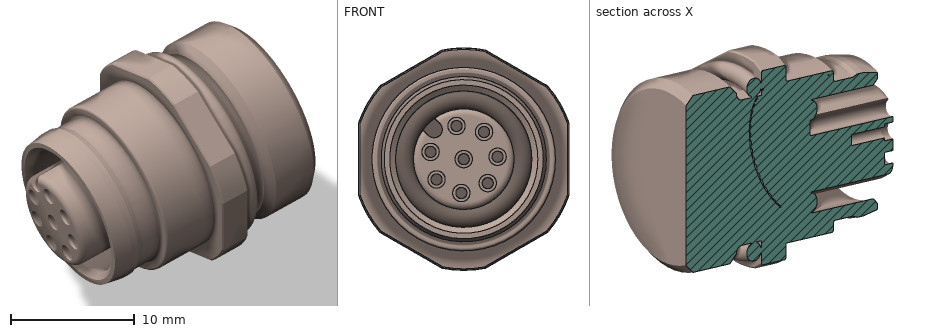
import cadquery as cq
import math

LENGTH = 20.9

COLLAR_RADIUS = 16.0 / 2
COLLAR_FRONT = 15.75
COLLAR_CHAMFER = 0.71

NECK_RADIUS = 13.5 / 2
NECK_FILLET = 0.48
SEAL_THICKNESS = 1.5
SEAL_OVERLAP = 0.031
SEAL_OUTER_RADIUS = 8.23

NUT_ACROSS_FLATS = 17.0
NUT_CORNER_DIAMETER = 17.95
NUT_FRONT = 10.78
NUT_REAR = 13.31
NUT_CHAMFER = 0.13

BODY_RADIUS = 14.8 / 2
BODY_FRONT = 6.0
BODY_FILLET = 0.2
SLEEVE_RADIUS = 13.0 / 2
SLEEVE_ROOT_FILLET = 0.17
LIP_RADIUS = 6.67
LIP_REAR = 4.08
LIP_RAMP_LENGTH = 0.3
LIP_RAMP_RISE = 0.1
LIP_EDGE_LENGTH = 0.13
LIP_TAPER_START = 3.0
SLEEVE_FRONT = 1.53
SLEEVE_TIP_RADIUS = 6.42

BORE_RADIUS = 11.0 / 2
BORE_MOUTH_RADIUS = 5.98
BORE_MOUTH_DEPTH = 0.48
BORE_FLOOR = 8.35

CARRIER_RADIUS = 4.05
CARRIER_FILLET = 0.52
KEY_ANGLE = 135.0
KEY_RADIUS = 0.67
KEY_CENTRE_RADIUS = 3.39

RING_CONTACTS = 7
CONTACT_CIRCLE_RADIUS = 2.74
CONTACT_STEP = 49.1
CONTACT_DIAMETER = 1.4
CONTACT_DEPTH = 0.84
CONTACT_INNER_DIAMETER = 0.9
CONTACT_INNER_DEPTH = 4.18


def cylinder(radius, start, end, x=0.0, z=0.0):
    """Cylinder along +Y from Y = start to Y = end, centred on (x, z)."""
    return cq.Workplane(cq.Solid.makeCylinder(radius, end - start, cq.Vector(x, start, z), cq.Vector(0, 1, 0)))


def torus(ring_radius, tube_radius, y):
    """Ring of round section around the Y axis."""
    section = cq.Workplane("XY").center(-ring_radius, y).circle(tube_radius)
    return section.revolve(360, (ring_radius, 0, 0), (ring_radius, 1, 0))


def polar(radius, angle):
    """X and Z of a point at an angle in degrees from +X towards +Z."""
    return radius * math.cos(math.radians(angle)), radius * math.sin(math.radians(angle))


def turned_body():
    """Outer profile of the body and sleeve, turned around the Y axis."""
    return (
        cq.Workplane("XY")
        .moveTo(0, SLEEVE_FRONT)
        .lineTo(SLEEVE_TIP_RADIUS, SLEEVE_FRONT)
        .lineTo(LIP_RADIUS, LIP_TAPER_START)
        .lineTo(LIP_RADIUS, LIP_REAR - LIP_RAMP_LENGTH - LIP_EDGE_LENGTH)
        .lineTo(SLEEVE_RADIUS + LIP_RAMP_RISE, LIP_REAR - LIP_RAMP_LENGTH)
        .lineTo(SLEEVE_RADIUS, LIP_REAR)
        .lineTo(SLEEVE_RADIUS, BODY_FRONT - SLEEVE_ROOT_FILLET)
        .radiusArc((SLEEVE_RADIUS + SLEEVE_ROOT_FILLET, BODY_FRONT), SLEEVE_ROOT_FILLET)
        .lineTo(BODY_RADIUS - BODY_FILLET, BODY_FRONT)
        .radiusArc((BODY_RADIUS, BODY_FRONT + BODY_FILLET), -BODY_FILLET)
        .lineTo(BODY_RADIUS, NUT_REAR)
        .lineTo(NECK_RADIUS, NUT_REAR)
        .lineTo(NECK_RADIUS, COLLAR_FRONT - NECK_FILLET)
        .radiusArc((NECK_RADIUS + NECK_FILLET, COLLAR_FRONT), NECK_FILLET)
        .lineTo(COLLAR_RADIUS - COLLAR_CHAMFER, COLLAR_FRONT)
        .lineTo(COLLAR_RADIUS, COLLAR_FRONT + COLLAR_CHAMFER)
        .lineTo(COLLAR_RADIUS, LENGTH - COLLAR_CHAMFER)
        .lineTo(COLLAR_RADIUS - COLLAR_CHAMFER, LENGTH)
        .lineTo(0, LENGTH)
        .close()
        .revolve(360, (0, 0, 0), (0, 1, 0))
    )


def nut():
    """Hexagon with two flats facing +X and -X, rounded corners and chamfered edges."""
    hexagon = (
        cq.Workplane("XZ", origin=(0, NUT_REAR, 0))
        .polygon(6, NUT_ACROSS_FLATS, circumscribed=True)
        .extrude(NUT_REAR - NUT_FRONT)
    )
    rounded = hexagon.intersect(cylinder(NUT_CORNER_DIAMETER / 2, NUT_FRONT, NUT_REAR))
    return rounded.faces("<Y or >Y").edges().chamfer(NUT_CHAMFER)


def neck_seal():
    """Sealing ring on the neck, pressed slightly into the rear face of the nut."""
    tube_radius = SEAL_THICKNESS / 2
    return torus(SEAL_OUTER_RADIUS - tube_radius, tube_radius, NUT_REAR + tube_radius - SEAL_OVERLAP)


def socket_bore():
    """Space to remove inside the sleeve: a conical mouth and a straight bore."""
    return (
        cq.Workplane("XY")
        .moveTo(0, SLEEVE_FRONT)
        .lineTo(BORE_MOUTH_RADIUS, SLEEVE_FRONT)
        .lineTo(BORE_RADIUS, SLEEVE_FRONT + BORE_MOUTH_DEPTH)
        .lineTo(BORE_RADIUS, BORE_FLOOR)
        .lineTo(0, BORE_FLOOR)
        .close()
        .revolve(360, (0, 0, 0), (0, 1, 0))
    )


def bore_seal():
    """Sealing ring half sunk in the bore floor, filling the gap around the carrier."""
    tube_radius = (BORE_RADIUS - CARRIER_RADIUS) / 2
    return torus(CARRIER_RADIUS + tube_radius, tube_radius, BORE_FLOOR)


def key_groove():
    """Round-bottomed groove along the carrier, open to its side."""
    groove_reach = CARRIER_RADIUS - KEY_CENTRE_RADIUS + KEY_RADIUS
    channel = (
        cq.Workplane("XY")
        .box(groove_reach, BORE_FLOOR, 2 * KEY_RADIUS, centered=(False, False, True))
        .translate((KEY_CENTRE_RADIUS, 0, 0))
    )
    groove = channel.union(cylinder(KEY_RADIUS, 0, BORE_FLOOR, x=KEY_CENTRE_RADIUS))
    return groove.rotate((0, 0, 0), (0, 1, 0), -KEY_ANGLE)


def contact_carrier():
    """Round insert with a filleted tip and the key groove."""
    carrier = cylinder(CARRIER_RADIUS, 0, BORE_FLOOR).faces("<Y").edges().fillet(CARRIER_FILLET)
    return carrier.cut(key_groove())


def contact_positions():
    """X and Z of every contact hole."""
    first_angle = KEY_ANGLE + (360 - (RING_CONTACTS - 1) * CONTACT_STEP) / 2
    ring = [polar(CONTACT_CIRCLE_RADIUS, first_angle + i * CONTACT_STEP) for i in range(RING_CONTACTS)]
    return [(0.0, 0.0)] + ring


result = turned_body().union(nut()).union(neck_seal())
result = result.cut(socket_bore()).union(contact_carrier()).union(bore_seal())
for x, z in contact_positions():
    result = result.cut(cylinder(CONTACT_DIAMETER / 2, 0, CONTACT_DEPTH, x, z))
    result = result.cut(cylinder(CONTACT_INNER_DIAMETER / 2, 0, CONTACT_INNER_DEPTH, x, z))